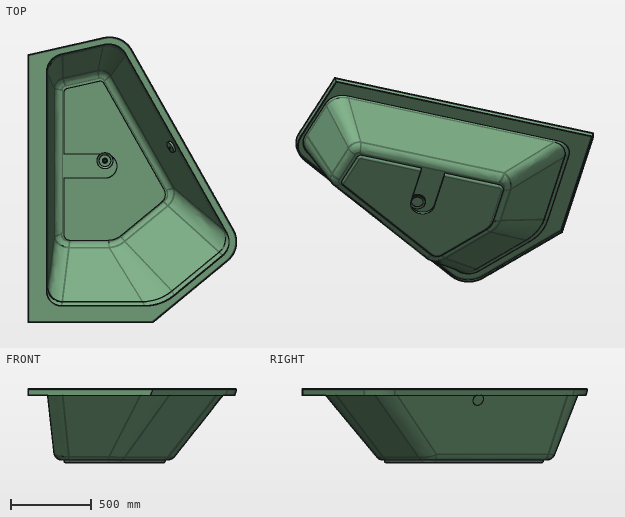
import cadquery as cq
import math

total_height = 460.0
rim_height = 40.0
rim_corners = [(0, 0), (777.0, 0), (1340.0, 464.0), (588.0, 1795.0), (0, 1662.0)]
rim_corner_radii = [0, 0, 152.0, 160.0, 0]
rim_edge_fillet = 7.0
skirt_draft_insets = [0, 10.0, 10.0, 10.0, 0]
BACK = 2

sheet = 5.0
mouth_insets = [103.0, 46.0, 50.0, 46.0, 119.0]
lip_depth = 15.0
lip_widths = [28.0, 32.0, 9.0, 9.0, 5.0]
wall_runs = [0.83, 1.04, 0.36, 0.36, 0.11]
mouth_corner_radii = [92.0, 289.0, 110.0, 124.0, 119.0]
floor_corner_radii = [89.0, 150.0, 95.0, 67.0, 64.0]
floor_fillet = 50.0

pad_height = 18.0
pad_setbacks = [5.0, 5.0, 9.0, 18.0, 9.0]
pad_corner_radii = [35.0, 124.0, 62.0, 27.0, 27.0]
pad_edge_fillet = 15.0
notch_width = 149.0
notch_y = 970.0

drain_x = 478.0
drain_y = 1004.0
drain_diameter = 73.0
drain_height = 7.0
drain_cup_diameter = 32.0
drain_cup_depth = 4.0
drain_cup_floor_diameter = 25.0
drain_pin_diameter = 14.5
recess_top_diameter = 100.0
recess_depth = 10.0

overflow_diameter = 73.0
overflow_height = 20.0
overflow_tip_diameter = 13.0
overflow_face_taper = 4.0
overflow_dimple_diameter = 9.2
overflow_along_back = 766.0
overflow_depth = 69.0

floor_z = pad_height + sheet
lip_z = total_height - lip_depth
collar_z = lip_z - sheet
rim_bottom_z = total_height - rim_height
recess_floor_z = floor_z - recess_depth
recess_radius = drain_diameter / 2


def side_direction(i):
    """Unit vector along rim side i."""
    (x0, y0), (x1, y1) = rim_corners[i], rim_corners[(i + 1) % len(rim_corners)]
    length = math.hypot(x1 - x0, y1 - y0)
    return (x1 - x0) / length, (y1 - y0) / length


def inset_corners(insets):
    """Corners of the rim outline after moving each side inwards by its own inset."""
    corners = []
    for i, (x, y) in enumerate(rim_corners):
        ax, ay = side_direction(i - 1)
        bx, by = side_direction(i)
        turn = ax * by - ay * bx
        along_a = insets[i] / turn
        along_b = insets[i - 1] / turn
        corners.append((x - ax * along_a + bx * along_b, y - ay * along_a + by * along_b))
    return corners


def outline(insets, radii, z):
    """Closed wire of the inset rim outline at height z with rounded corners."""
    arcs = []
    for i, ((x, y), radius) in enumerate(zip(inset_corners(insets), radii)):
        ax, ay = side_direction(i - 1)
        bx, by = side_direction(i)
        half_turn = math.acos(ax * bx + ay * by) / 2
        tangent = radius * math.tan(half_turn)
        sagitta = radius / math.cos(half_turn) - radius
        to_middle = sagitta / math.hypot(bx - ax, by - ay)
        start = cq.Vector(x - ax * tangent, y - ay * tangent, z)
        middle = cq.Vector(x + (bx - ax) * to_middle, y + (by - ay) * to_middle, z)
        end = cq.Vector(x + bx * tangent, y + by * tangent, z)
        arcs.append((start, middle, end, radius))
    edges = []
    for i, (start, middle, end, radius) in enumerate(arcs):
        if radius > 0:
            edges.append(cq.Edge.makeThreePointArc(start, middle, end))
        edges.append(cq.Edge.makeLine(end, arcs[(i + 1) % len(arcs)][0]))
    return cq.Wire.assembleEdges(edges)


def loft(lower, upper):
    """Solid with straight sides between two outlines."""
    return cq.Workplane(obj=cq.Solid.makeLoft([lower, upper], True))


def added(insets, extras):
    """Side-by-side sum of two lists."""
    return [inset + extra for inset, extra in zip(insets, extras)]


def wall_insets(z, thickness=0.0):
    """Insets of the sloping walls at height z; a thickness gives their outer face."""
    lip_insets = added(mouth_insets, lip_widths)
    return [
        inset + run * (lip_z - z) - thickness * math.hypot(1, run)
        for inset, run in zip(lip_insets, wall_runs)
    ]


def flat_floor_insets():
    """Insets of the floor area left flat inside the floor fillet."""
    fillet_reach = [floor_fillet * math.tan(math.atan2(1, run) / 2) for run in wall_runs]
    return added(wall_insets(floor_z), fillet_reach)


def rim_block(inset, top_z):
    """Drafted block of the rim, shrunk by the inset."""
    top = [inset] * len(rim_corners)
    radii = [max(radius - inset, 0) for radius in rim_corner_radii]
    return loft(
        outline(added(top, skirt_draft_insets), radii, rim_bottom_z),
        outline(top, radii, top_z),
    )


def bowl_body(bottom_z, top_z, thickness):
    """Sloping-wall bowl with a rounded floor edge."""
    lower = outline(wall_insets(bottom_z, thickness), floor_corner_radii, bottom_z)
    upper = outline(wall_insets(top_z, thickness), mouth_corner_radii, top_z)
    return loft(lower, upper).faces("<Z").edges().fillet(floor_fillet + thickness)


def make_pad():
    """Board under the floor, slotted to leave room for the drain."""
    insets = added(flat_floor_insets(), pad_setbacks)
    face = cq.Face.makeFromWires(outline(insets, pad_corner_radii, 0))
    pad = cq.Workplane(obj=cq.Solid.extrudeLinear(face, cq.Vector(0, 0, pad_height)))
    pad = pad.faces("<Z").edges().fillet(pad_edge_fillet)
    slot_radius = notch_width / 2
    slot = (
        cq.Workplane("XY")
        .center(drain_x, notch_y)
        .circle(slot_radius)
        .extrude(pad_height)
        .union(
            cq.Workplane("XY")
            .center(drain_x / 2, notch_y)
            .rect(drain_x, notch_width)
            .extrude(pad_height)
        )
    )
    return pad.cut(slot)


def make_tub():
    """Sheet bowl with a folded rim, a base pad and a drain recess."""
    rim = rim_block(0, total_height).faces(">Z").edges().fillet(rim_edge_fillet)
    rim = rim.cut(rim_block(sheet, total_height - sheet))
    bowl = bowl_body(pad_height, collar_z, sheet)
    collar = loft(
        outline(wall_insets(collar_z, sheet), mouth_corner_radii, collar_z),
        outline([inset - sheet for inset in mouth_insets], mouth_corner_radii, total_height),
    )
    cavity = bowl_body(floor_z, lip_z, 0)
    mouth = loft(
        outline(wall_insets(lip_z), mouth_corner_radii, lip_z),
        outline(mouth_insets, mouth_corner_radii, total_height),
    )
    recess_shell = (
        cq.Workplane("XY", origin=(drain_x, drain_y, recess_floor_z - sheet))
        .circle(recess_top_diameter / 2)
        .extrude(recess_depth)
    )
    recess = (
        cq.Workplane("XY", origin=(drain_x, drain_y, recess_floor_z))
        .circle(recess_radius)
        .workplane(offset=recess_depth)
        .circle(recess_top_diameter / 2)
        .loft()
    )
    shell = rim.union(bowl).union(collar).cut(cavity).cut(mouth)
    return shell.union(make_pad()).union(recess_shell).cut(recess)


def make_drain():
    """Round plug with a shallow tapered cup and a centre pin."""
    top_z = recess_floor_z + drain_height
    plug = (
        cq.Workplane("XY", origin=(drain_x, drain_y, recess_floor_z))
        .circle(recess_radius)
        .extrude(drain_height)
    )
    cup = (
        cq.Workplane("XY", origin=(drain_x, drain_y, top_z - drain_cup_depth))
        .circle(drain_cup_floor_diameter / 2)
        .workplane(offset=drain_cup_depth)
        .circle(drain_cup_diameter / 2)
        .loft()
    )
    pin = (
        cq.Workplane("XY", origin=(drain_x, drain_y, top_z - drain_cup_depth))
        .circle(drain_pin_diameter / 2)
        .extrude(drain_cup_depth)
    )
    return plug.cut(cup).union(pin)


def make_overflow():
    """Round knob standing square on the back wall, turned about the wall normal."""
    along_x, along_y = side_direction(BACK)
    inward_x, inward_y = -along_y, along_x
    seat_z = total_height - overflow_depth
    seat_inset = wall_insets(seat_z)[BACK]
    corner_x, corner_y = rim_corners[BACK]
    seat = cq.Plane(
        origin=(
            corner_x + along_x * overflow_along_back + inward_x * seat_inset,
            corner_y + along_y * overflow_along_back + inward_y * seat_inset,
            seat_z,
        ),
        xDir=(along_x, along_y, 0),
        normal=(inward_x, inward_y, wall_runs[BACK]),
    )
    shoulder = overflow_height - overflow_face_taper
    knob = (
        cq.Workplane(seat)
        .circle(overflow_diameter / 2)
        .extrude(overflow_height)
        .faces(cq.selectors.DirectionMinMaxSelector(seat.zDir, True))
        .chamfer(overflow_face_taper, (overflow_diameter - overflow_tip_diameter) / 2)
    )
    dimple = (
        cq.Workplane(seat)
        .workplane(offset=shoulder)
        .circle(overflow_dimple_diameter / 2)
        .extrude(overflow_face_taper)
    )
    return knob.cut(dimple)


tub = make_tub()
drain = make_drain()
overflow = make_overflow()

result = cq.Compound.makeCompound([tub.solids().val(), drain.solids().val(), overflow.solids().val()])